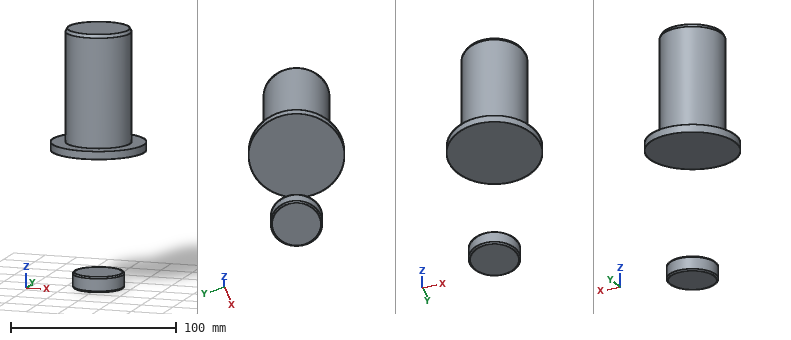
import cadquery as cq

total_height = 160.0

pin_height = 75.0
shaft_diameter = 40.0
flange_diameter = 58.0
flange_thickness = 5.0
lead_in_height = 2.0
lead_in_width = 1.1

disc_diameter = 31.4
disc_height = 9.6
disc_chamfer = 1.0


def make_pin():
    """Round shaft on a flange, with a tapered lead-in at the top."""
    shaft_radius = shaft_diameter / 2
    flange_radius = flange_diameter / 2
    base_z = total_height - pin_height
    flange_top_z = base_z + flange_thickness
    half_profile = (
        cq.Workplane("XZ")
        .moveTo(0, base_z)
        .lineTo(flange_radius, base_z)
        .lineTo(flange_radius, flange_top_z)
        .lineTo(shaft_radius, flange_top_z)
        .lineTo(shaft_radius, total_height - lead_in_height)
        .lineTo(shaft_radius - lead_in_width, total_height)
        .lineTo(0, total_height)
        .close()
    )
    return half_profile.revolve(360, (0, 0), (0, 1))


def make_disc():
    """Flat disc standing on Z = 0, with both rims chamfered."""
    blank = cq.Workplane("XY").circle(disc_diameter / 2).extrude(disc_height)
    return blank.faces("<Z or >Z").edges().chamfer(disc_chamfer)


pin = make_pin()
disc = make_disc()

result = cq.Compound.makeCompound([pin.val(), disc.val()])